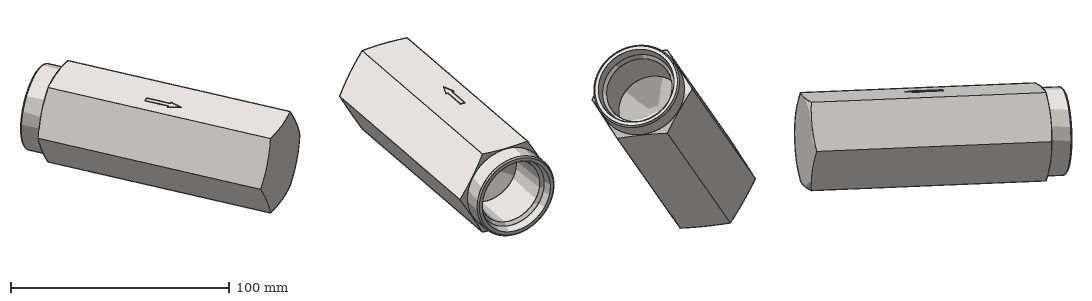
import cadquery as cq
import math

length = 121.4
across_flats = 41.3
hexagon_sides = 6
left_end = -length / 2
right_end = length / 2

collar_diameter = 40.7
collar_length = 9.6
collar_chamfer = 0.7

corner_angle = 15.0
left_face_diameter = across_flats
right_face_diameter = 40.7
corner_clearance = 2.4

mouth_diameter = 35.9
seat_angle = 13.0
seat_depth = 4.0
bore_diameter = 31.1
bore_depth = 26.7
lead_in_angle = 45.0
drill_point_angle = 118.0

arrow_tail_x = -5.2
arrow_tip_x = 12.4
arrow_neck_x = 6.4
arrow_center_y = -3.8
shaft_width = 2.3
head_width = 4.2
engraving_depth = 0.2


def revolved(profile):
    """Solid of revolution about X from (x, radius) points."""
    return cq.Workplane("XY").polyline(profile).close().revolve(360, (0, 0, 0), (1, 0, 0))


def hexagon_body():
    """Hexagonal bar with flats on top and bottom and its corners turned back at both ends."""
    start = left_end + collar_length
    corner_radius = across_flats / 2 / math.cos(math.pi / hexagon_sides)
    bar = (
        cq.Workplane("YZ", origin=(start, 0, 0))
        .polygon(hexagon_sides, 2 * corner_radius)
        .extrude(right_end - start)
    )
    slope = math.tan(math.radians(corner_angle))
    envelope_radius = corner_radius + corner_clearance
    left_setback = (envelope_radius - left_face_diameter / 2) * slope
    right_setback = (envelope_radius - right_face_diameter / 2) * slope
    envelope = revolved([
        (start, 0),
        (start, left_face_diameter / 2),
        (start + left_setback, envelope_radius),
        (right_end - right_setback, envelope_radius),
        (right_end, right_face_diameter / 2),
        (right_end, 0),
    ])
    return bar.intersect(envelope)


def collar():
    """Round collar with a chamfered outer rim."""
    return (
        cq.Workplane("YZ", origin=(left_end, 0, 0))
        .circle(collar_diameter / 2)
        .extrude(collar_length)
        .faces("<X")
        .chamfer(collar_chamfer)
    )


def port():
    """Blind hole: tapered seal seat, steeper conical lead-in, bore and drill point."""
    mouth_radius = mouth_diameter / 2
    bore_radius = bore_diameter / 2
    seat_radius = mouth_radius - seat_depth * math.tan(math.radians(seat_angle))
    seat_end = left_end + seat_depth
    lead_in_end = seat_end + (seat_radius - bore_radius) / math.tan(math.radians(lead_in_angle))
    bore_end = left_end + bore_depth
    tip = bore_end + bore_radius / math.tan(math.radians(drill_point_angle / 2))
    return revolved([
        (left_end, 0),
        (left_end, mouth_radius),
        (seat_end, seat_radius),
        (lead_in_end, bore_radius),
        (bore_end, bore_radius),
        (tip, 0),
    ])


def flow_arrow():
    """Arrow-shaped cutter pointing along +X, sunk below the top flat."""
    return (
        cq.Workplane("XY", origin=(0, arrow_center_y, across_flats / 2))
        .polyline([
            (arrow_tail_x, -shaft_width / 2),
            (arrow_neck_x, -shaft_width / 2),
            (arrow_neck_x, -head_width / 2),
            (arrow_tip_x, 0),
            (arrow_neck_x, head_width / 2),
            (arrow_neck_x, shaft_width / 2),
            (arrow_tail_x, shaft_width / 2),
        ])
        .close()
        .extrude(-engraving_depth)
    )


result = hexagon_body().union(collar()).cut(port()).cut(flow_arrow())